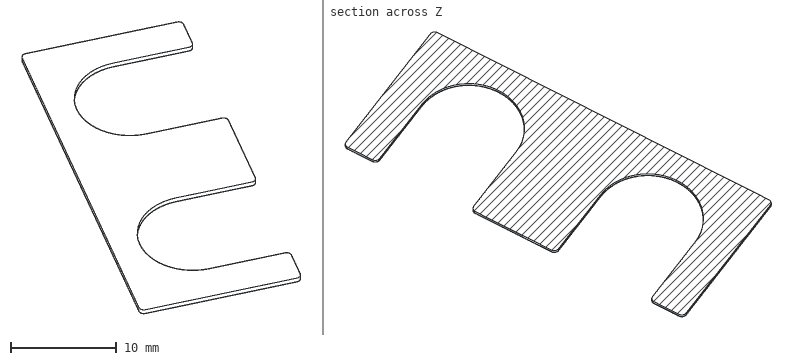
import cadquery as cq

length = 38.0
width = 16.0
thickness = 0.5
corner_radius = 0.5
slot_width = 10.5
slot_spacing = 20.0

slot_radius = slot_width / 2
slot_depth = width / 2


def slot_cutter(center_x):
    """U-shaped cutter, open at the +Y edge of the plate."""
    straight = (
        cq.Workplane("XY")
        .center(center_x, slot_depth / 2)
        .rect(slot_width, slot_depth)
        .extrude(thickness)
    )
    round_end = cq.Workplane("XY").center(center_x, 0).circle(slot_radius).extrude(thickness)
    return straight.union(round_end)


plate = cq.Workplane("XY").rect(length, width).extrude(thickness)
for side in (-1, 1):
    plate = plate.cut(slot_cutter(side * slot_spacing / 2))

front_corners = plate.faces("<Y").edges("|Z")
back_corners = plate.faces(">Y").edges("|Z")
result = front_corners.add(back_corners).fillet(corner_radius)